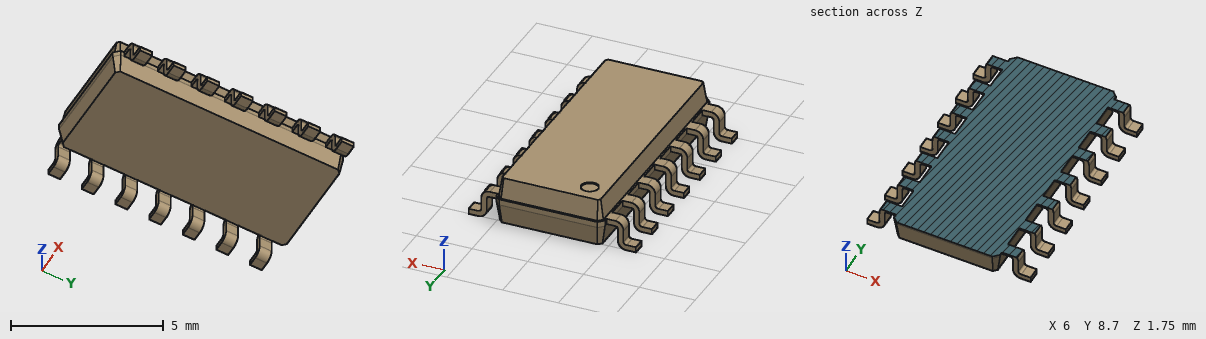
import cadquery as cq
import math

BODY_WIDTH = 3.9
BODY_LENGTH = 8.7
BODY_BOTTOM = 0.1
BODY_TOP = 1.75
CORNER_CHAMFER = 0.19
DRAFT_ANGLE = 9.0
LEDGE_WIDTH = 0.075

LEAD_SPAN = 6.0
LEAD_THICKNESS = 0.2
LEAD_WIDTH = 0.45
LEAD_PITCH = 1.27
LEADS_PER_SIDE = 7
LEAD_SHANK_OUTER_X = 2.55
BEND_INNER_RADIUS = 0.1
LEAD_EMBEDMENT = 0.2

MARK_DIAMETER = 0.6
MARK_DEPTH = 0.05
MARK_EDGE_DISTANCE = 0.65

BAND_BOTTOM = (BODY_BOTTOM + BODY_TOP - LEAD_THICKNESS) / 2
BAND_TOP = BAND_BOTTOM + LEAD_THICKNESS
UPPER_HEIGHT = BODY_TOP - BAND_TOP
LOWER_HEIGHT = BAND_BOTTOM - BODY_BOTTOM
TOP_INSET = LEDGE_WIDTH + UPPER_HEIGHT * math.tan(math.radians(DRAFT_ANGLE))
BOTTOM_INSET = LOWER_HEIGHT * math.tan(math.radians(DRAFT_ANGLE))
BEND_OUTER_RADIUS = BEND_INNER_RADIUS + LEAD_THICKNESS


def body_outline(inset, z):
    """Chamfered rectangle at height z, offset inward from the parting band by inset."""
    half_width = BODY_WIDTH / 2 - inset
    half_length = BODY_LENGTH / 2 - inset
    chamfer = CORNER_CHAMFER - inset * (2 - math.sqrt(2))
    points = [
        (half_width, half_length - chamfer),
        (half_width - chamfer, half_length),
        (chamfer - half_width, half_length),
        (-half_width, half_length - chamfer),
        (-half_width, chamfer - half_length),
        (chamfer - half_width, -half_length),
        (half_width - chamfer, -half_length),
        (half_width, chamfer - half_length),
    ]
    return cq.Wire.makePolygon([cq.Vector(x, y, z) for x, y in points], close=True)


def body_section(bottom_inset, bottom_z, top_inset, top_z):
    """Straight-sided block between two outlines."""
    outlines = [body_outline(bottom_inset, bottom_z), body_outline(top_inset, top_z)]
    return cq.Workplane(obj=cq.Solid.makeLoft(outlines, True))


def make_body():
    """Lower half tapering down, straight band, and upper half set back behind a ledge."""
    lower = body_section(BOTTOM_INSET, BODY_BOTTOM, 0, BAND_BOTTOM)
    band = body_section(0, BAND_BOTTOM, 0, BAND_TOP)
    upper = body_section(LEDGE_WIDTH, BAND_TOP, TOP_INSET, BODY_TOP)
    return lower.union(band).union(upper)


def make_lead():
    """Gull-wing lead on the +X side, centred on Y = 0, with its foot on Z = 0."""
    root_x = BODY_WIDTH / 2 - LEAD_EMBEDMENT
    toe_x = LEAD_SPAN / 2
    shank_outer_x = LEAD_SHANK_OUTER_X
    shank_inner_x = shank_outer_x - LEAD_THICKNESS
    shoulder_x = shank_outer_x - BEND_OUTER_RADIUS
    heel_x = shank_inner_x + BEND_OUTER_RADIUS
    shoulder_z = BAND_TOP - BEND_OUTER_RADIUS
    heel_z = BEND_OUTER_RADIUS
    profile = (
        cq.Workplane("XZ")
        .moveTo(root_x, BAND_TOP)
        .lineTo(shoulder_x, BAND_TOP)
        .radiusArc((shank_outer_x, shoulder_z), BEND_OUTER_RADIUS)
        .lineTo(shank_outer_x, heel_z)
        .radiusArc((heel_x, LEAD_THICKNESS), -BEND_INNER_RADIUS)
        .lineTo(toe_x, LEAD_THICKNESS)
        .lineTo(toe_x, 0)
        .lineTo(heel_x, 0)
        .radiusArc((shank_inner_x, heel_z), BEND_OUTER_RADIUS)
        .lineTo(shank_inner_x, shoulder_z)
        .radiusArc((shoulder_x, BAND_BOTTOM), -BEND_INNER_RADIUS)
        .lineTo(root_x, BAND_BOTTOM)
        .close()
    )
    return profile.extrude(LEAD_WIDTH / 2, both=True)


def add_leads(body):
    """Join a row of evenly pitched leads along each long side."""
    right_lead = make_lead()
    left_lead = right_lead.mirror("YZ")
    first_y = -LEAD_PITCH * (LEADS_PER_SIDE - 1) / 2
    for index in range(LEADS_PER_SIDE):
        y = first_y + index * LEAD_PITCH
        for lead in (right_lead, left_lead):
            body = body.union(lead.translate((0, y, 0)))
    return body


def cut_pin_mark(part):
    """Shallow round recess in the -X, +Y corner of the top face."""
    mark_x = -(BODY_WIDTH / 2 - TOP_INSET - MARK_EDGE_DISTANCE)
    mark_y = BODY_LENGTH / 2 - TOP_INSET - MARK_EDGE_DISTANCE
    mark = (
        cq.Workplane("XY", origin=(mark_x, mark_y, BODY_TOP - MARK_DEPTH))
        .circle(MARK_DIAMETER / 2)
        .extrude(MARK_DEPTH)
    )
    return part.cut(mark)


result = cut_pin_mark(add_leads(make_body()))